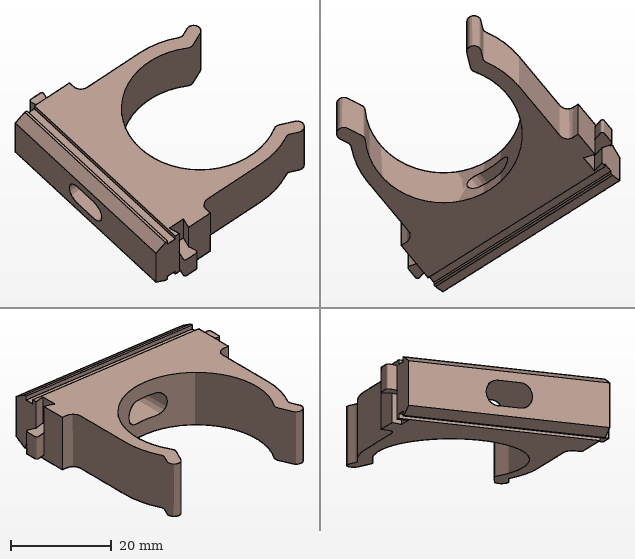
import cadquery as cq
import math


THICKNESS = 12.0

BORE_RADIUS = 15.55
WALL = 2.95
OUTER_RADIUS = BORE_RADIUS + WALL

FOOT_WIDTH = 43.3
FOOT_DEPTH = 14.1
FOOT_FILLET = 1.9
BORE_Y = FOOT_DEPTH + BORE_RADIUS

TOTAL_DEPTH = 42.8
LIP_TILT = math.radians(24)
LIP_RADIUS = 1.45
LIP_TIP_X = 15.9
LIP_TIP_Y = TOTAL_DEPTH - LIP_RADIUS
NECK_INNER_FILLET = 1.55
NECK_OUTER_FILLET = 1.2

BEVEL_DEPTH = 2.5
BEVEL_HEIGHT = 1.45
GROOVE_START = 3.0
GROOVE_END = 5.0
GROOVE_DEPTH = 0.9

SLOT_LENGTH = 9.95
SLOT_HEIGHT = 5.2

TOTAL_WIDTH = 47.9
DOVETAIL_Y = 7.25
DOVETAIL_REACH = (TOTAL_WIDTH - FOOT_WIDTH) / 2
DOVETAIL_NECK = 2.4
DOVETAIL_END = 3.65
TAB_CORNER = 0.5
TAB_GAP = 0.9

HALF_FOOT = FOOT_WIDTH / 2
HALF_THICKNESS = THICKNESS / 2


def neck_corner(side, radius):
    """Where a flank of the right lip meets the bore-centred circle of the given radius.

    The side is +1 for the outer flank and -1 for the inner one.
    """
    flank_x = LIP_TIP_X + side * LIP_RADIUS * math.cos(LIP_TILT)
    flank_y = LIP_TIP_Y - side * LIP_RADIUS * math.sin(LIP_TILT)
    along_x = -math.sin(LIP_TILT)
    along_y = -math.cos(LIP_TILT)
    rise = flank_y - BORE_Y
    approach = -(flank_x * along_x + rise * along_y)
    power_of_point = flank_x**2 + rise**2 - radius**2
    length = approach - math.sqrt(approach**2 - power_of_point)
    return flank_x + length * along_x, flank_y + length * along_y


def mirrored(point):
    """The same point on the other side of X = 0."""
    return -point[0], point[1]


def lip_point(angle):
    """Point on the round tip of the right lip."""
    return LIP_TIP_X + LIP_RADIUS * math.cos(angle), LIP_TIP_Y + LIP_RADIUS * math.sin(angle)


def arc_middle(point, radius):
    """Point of a bore-centred arc halfway between the +X axis of the bore and the given point."""
    angle = math.atan2(point[1] - BORE_Y, point[0]) / 2
    return radius * math.cos(angle), BORE_Y + radius * math.sin(angle)


def make_body():
    outer_neck = neck_corner(1, OUTER_RADIUS)
    inner_neck = neck_corner(-1, BORE_RADIUS)
    tip_outer = lip_point(-LIP_TILT)
    tip_end = lip_point(math.pi / 2 - LIP_TILT)
    tip_inner = lip_point(math.pi - LIP_TILT)
    outer_middle = arc_middle(outer_neck, OUTER_RADIUS)
    body = (
        cq.Workplane("XY", origin=(0, 0, -HALF_THICKNESS))
        .moveTo(-HALF_FOOT, 0)
        .lineTo(HALF_FOOT, 0)
        .lineTo(HALF_FOOT, FOOT_DEPTH)
        .lineTo(OUTER_RADIUS, FOOT_DEPTH)
        .lineTo(OUTER_RADIUS, BORE_Y)
        .threePointArc(outer_middle, outer_neck)
        .lineTo(*tip_outer)
        .threePointArc(tip_end, tip_inner)
        .lineTo(*inner_neck)
        .threePointArc((0, BORE_Y - BORE_RADIUS), mirrored(inner_neck))
        .lineTo(*mirrored(tip_inner))
        .threePointArc(mirrored(tip_end), mirrored(tip_outer))
        .lineTo(*mirrored(outer_neck))
        .threePointArc(mirrored(outer_middle), (-OUTER_RADIUS, BORE_Y))
        .lineTo(-OUTER_RADIUS, FOOT_DEPTH)
        .lineTo(-HALF_FOOT, FOOT_DEPTH)
        .close()
        .extrude(THICKNESS)
    )
    body = fillet_corners(body, (OUTER_RADIUS, FOOT_DEPTH), FOOT_FILLET)
    body = fillet_corners(body, outer_neck, NECK_OUTER_FILLET)
    return fillet_corners(body, inner_neck, NECK_INNER_FILLET)


def fillet_corners(body, corner, radius):
    """Round the upright edge at a corner and its mirror image across X = 0."""
    for x, y in (corner, mirrored(corner)):
        body = body.edges(cq.selectors.NearestToPointSelector((x, y, 0))).fillet(radius)
    return body


def cut_rail(body):
    """Bevel the foot front and groove it, on the upper and lower faces alike."""
    bevel = (
        cq.Workplane("YZ", origin=(-HALF_FOOT, 0, 0))
        .moveTo(0, HALF_THICKNESS)
        .lineTo(BEVEL_DEPTH, HALF_THICKNESS)
        .lineTo(0, HALF_THICKNESS - BEVEL_HEIGHT)
        .close()
        .extrude(FOOT_WIDTH)
    )
    groove = cq.Workplane("XY").box(FOOT_WIDTH, GROOVE_END - GROOVE_START, GROOVE_DEPTH).translate(
        (0, (GROOVE_START + GROOVE_END) / 2, HALF_THICKNESS - GROOVE_DEPTH / 2)
    )
    for cutter in (bevel, groove):
        body = body.cut(cutter).cut(cutter.mirror("XY"))
    return body


def cut_screw_slot(body):
    slot = cq.Workplane("XZ").slot2D(SLOT_LENGTH, SLOT_HEIGHT).extrude(-BORE_Y)
    return body.cut(slot)


def dovetail(root_x, bottom, top):
    """Dovetail prism widening toward +X from its neck at root_x."""
    return (
        cq.Workplane("XY", origin=(root_x, DOVETAIL_Y, bottom))
        .moveTo(0, -DOVETAIL_NECK / 2)
        .lineTo(DOVETAIL_REACH, -DOVETAIL_END / 2)
        .lineTo(DOVETAIL_REACH, DOVETAIL_END / 2)
        .lineTo(0, DOVETAIL_NECK / 2)
        .close()
        .extrude(top - bottom)
    )


def add_links(body):
    """Tab below a socket on the +X side; the same pair turned half a turn about Y on the -X side."""
    tab = dovetail(HALF_FOOT, TAB_GAP - HALF_THICKNESS, 0)
    tab = tab.faces(">X").edges("|Z").fillet(TAB_CORNER)
    socket = dovetail(-HALF_FOOT, -HALF_THICKNESS, 0)
    for turn in (0, 180):
        body = body.cut(socket.rotate((0, 0, 0), (0, 1, 0), turn))
        body = body.union(tab.rotate((0, 0, 0), (0, 1, 0), turn))
    return body


result = add_links(cut_screw_slot(cut_rail(make_body())))